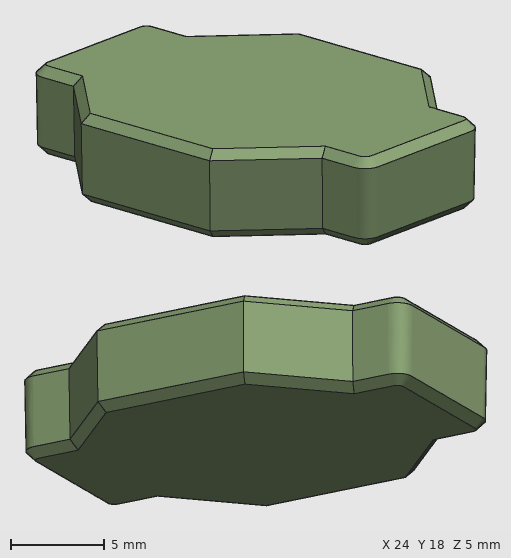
import cadquery as cq
import math

length = 23.98
width = 17.98
height = 5.0

flat_half_length = 4.55
ear_half_width = 4.72
ear_corner_radius = 0.95
half_length = length / 2
half_width = width / 2
half_turn = 45.0 / 2
ear_root = flat_half_length + half_width - ear_half_width

bevel = 0.5
draft_angle = 1.0
wall_height = height - 2 * bevel
draft_inset = wall_height * math.tan(math.radians(draft_angle))


def outline(z, inset):
    """Octagon with a round-cornered ear on each X end, moved inward by inset."""
    corner_shift = inset * math.tan(math.radians(half_turn))
    flat_x = flat_half_length - corner_shift
    root_x = ear_root - corner_shift
    end_x = half_length - inset
    side_y = half_width - inset
    ear_y = ear_half_width - inset
    radius = ear_corner_radius - inset
    arc_x = end_x - radius
    arc_y = ear_y - radius
    mid_offset = radius * math.sqrt(0.5)
    mid_x = arc_x + mid_offset
    mid_y = arc_y + mid_offset
    return (
        cq.Workplane("XY").workplane(offset=z)
        .moveTo(end_x, -arc_y)
        .lineTo(end_x, arc_y)
        .threePointArc((mid_x, mid_y), (arc_x, ear_y))
        .lineTo(root_x, ear_y)
        .lineTo(flat_x, side_y)
        .lineTo(-flat_x, side_y)
        .lineTo(-root_x, ear_y)
        .lineTo(-arc_x, ear_y)
        .threePointArc((-mid_x, mid_y), (-end_x, arc_y))
        .lineTo(-end_x, -arc_y)
        .threePointArc((-mid_x, -mid_y), (-arc_x, -ear_y))
        .lineTo(-root_x, -ear_y)
        .lineTo(-flat_x, -side_y)
        .lineTo(flat_x, -side_y)
        .lineTo(root_x, -ear_y)
        .lineTo(arc_x, -ear_y)
        .threePointArc((mid_x, -mid_y), (end_x, -arc_y))
        .close()
    )


def layer(low_z, low_inset, high_z, high_inset):
    """Slice of the part with straight sloping sides between two levels."""
    low_wire = outline(low_z, low_inset).val()
    high_wire = outline(high_z, high_inset).val()
    return cq.Workplane(cq.Solid.makeLoft([low_wire, high_wire], True))


widest_level = height - bevel
bottom_layer = layer(0.0, draft_inset + bevel, bevel, draft_inset)
wall_layer = layer(bevel, draft_inset, widest_level, 0.0)
top_layer = layer(widest_level, 0.0, height, bevel)

result = wall_layer.union(top_layer).union(bottom_layer)